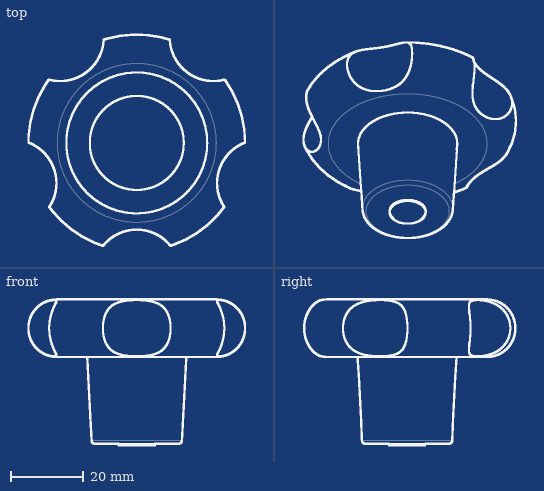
import cadquery as cq

outer_radius = 30.0
head_height = 16.0
rim_radius = head_height / 2
flat_radius = outer_radius - rim_radius

scallop_count = 5
scallop_radius = 12.0
scallop_center_distance = 36.0
first_scallop_angle = -90.0

bowl_top_radius = 19.5
bowl_floor_radius = 13.0
bowl_depth = 6.0

knob_height = 40.0
stem_top_radius = 13.75
stem_bottom_radius = 12.5
stem_fillet = 1.0

insert_diameter = 10.0
insert_projection = 0.35

stem_length = knob_height - head_height


def make_head():
    """Revolved disc with a half-round rim and a conical bowl in its top."""
    return (
        cq.Workplane("XZ")
        .moveTo(0, stem_length)
        .lineTo(flat_radius, stem_length)
        .threePointArc((outer_radius, stem_length + rim_radius), (flat_radius, knob_height))
        .lineTo(bowl_top_radius, knob_height)
        .lineTo(bowl_floor_radius, knob_height - bowl_depth)
        .lineTo(0, knob_height - bowl_depth)
        .close()
        .revolve(360, (0, 0, 0), (0, 1, 0))
    )


def make_scallops():
    """Vertical cylinders that cut the finger scallops through the head."""
    return (
        cq.Workplane("XY")
        .workplane(offset=stem_length)
        .polarArray(scallop_center_distance, first_scallop_angle, 360, scallop_count)
        .circle(scallop_radius)
        .extrude(head_height)
    )


def make_stem():
    """Tapered stem with a rounded bottom edge."""
    return (
        cq.Workplane("XZ")
        .lineTo(stem_bottom_radius, 0)
        .lineTo(stem_top_radius, stem_length)
        .lineTo(0, stem_length)
        .close()
        .revolve(360, (0, 0, 0), (0, 1, 0))
        .faces("<Z")
        .edges()
        .fillet(stem_fillet)
    )


insert_end = cq.Workplane("XY").circle(insert_diameter / 2).extrude(-insert_projection)

result = make_head().cut(make_scallops()).union(make_stem()).union(insert_end)